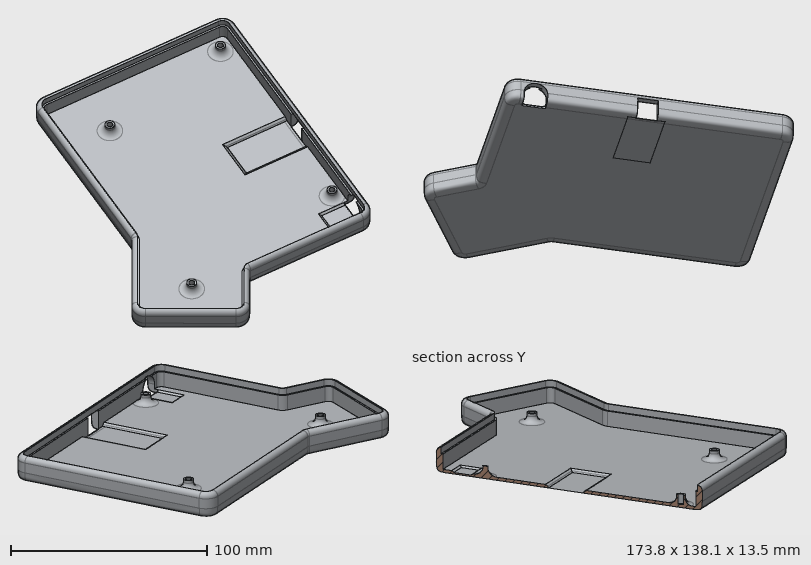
import cadquery as cq
import math

BODY_X = 150.5
BODY_Y = 115.4
HEIGHT = 13.5

WING_ANGLE = 30
TOTAL_X = 173.8
TOTAL_Y = 138.1
WING_WIDTH = 60.1

CONVEX_RADIUS = 7.0
FRONT_JOINT_RADIUS = 2.5
SIDE_JOINT_RADIUS = 0.9
RIM_FILLET = 3.0
BASE_ROUNDING = 5.2
BASE_HANDLE_RATIO = 0.15

RIM_WALL = RIM_FILLET
LOWER_WALL = 4.0
FLOOR_Z = 1.9
LEDGE_Z = 10.0

POST_DIAMETER = 5.0
POST_HOLE_DIAMETER = 3.0
POST_FLARE_WIDTH = 4.0
POST_FLARE_HEIGHT = 3.5
POST_HEIGHT = 5.0
POST_CENTRES = [(12.3, 104.1), (122.7, 106.0), (29.2, 29.4), (139.7, 13.7)]

USB_X = 77.2
USB_POCKET_WIDTH = 23.0
USB_POCKET_END = 40.8
USB_LEAD_DEPTH = 0.9
USB_LEAD_SLOPE = 1.2
USB_POCKET_DEPTH = 1.5
USB_POCKET_SLOPE = 0.6
USB_OPENING_WIDTH = 10.8

JACK_X = 135.5
JACK_WIDTH = 12.2
JACK_POCKET_END = 21.2
JACK_POCKET_DEPTH = 0.9
JACK_POCKET_SLOPE = 1.2
JACK_ARCH_Z = 4.5
JACK_ARCH_LENGTH = 6.0


def outline_corners():
    """Sharp corners of the case outline, counter-clockwise, each with its rounding radius."""
    angle = math.radians(WING_ANGLE)
    sine = math.sin(angle)
    cosine = math.cos(angle)
    straight = WING_WIDTH - 2 * CONVEX_RADIUS
    upper_x = TOTAL_X - CONVEX_RADIUS
    lower_x = upper_x - straight * sine
    lower_y = BODY_Y - TOTAL_Y + CONVEX_RADIUS
    upper_y = lower_y + straight * cosine
    along = (CONVEX_RADIUS * cosine, -CONVEX_RADIUS * sine)
    across = (CONVEX_RADIUS * sine, CONVEX_RADIUS * cosine)
    lower = (lower_x + along[0] - across[0], lower_y + along[1] - across[1])
    upper = (upper_x + along[0] + across[0], upper_y + along[1] + across[1])
    slope = math.tan(angle)
    front_joint = (lower[0] + lower[1] / slope, 0)
    side_joint = (BODY_X, upper[1] + (upper[0] - BODY_X) * slope)
    return [
        ((0, 0), CONVEX_RADIUS),
        (front_joint, FRONT_JOINT_RADIUS),
        (lower, CONVEX_RADIUS),
        (upper, CONVEX_RADIUS),
        (side_joint, SIDE_JOINT_RADIUS),
        ((BODY_X, BODY_Y), CONVEX_RADIUS),
        ((0, BODY_Y), CONVEX_RADIUS),
    ]


def outline_block():
    """Full-height block with its upright corners rounded."""
    corners = outline_corners()
    block = cq.Workplane("XY").polyline([point for point, _ in corners]).close().extrude(HEIGHT)
    for (x, y), radius in corners:
        corner_edge = cq.selectors.NearestToPointSelector((x, y, HEIGHT / 2))
        block = block.edges("|Z").edges(corner_edge).fillet(radius)
    return block


def cavity(block, inset, bottom):
    """Block that follows the outline at a given inset, from bottom up to the rim."""
    top = block.faces(">Z").wires().toPending().offset2D(-inset)
    return top.extrude(bottom - HEIGHT, combine=False)


def post(x, y):
    """Screw post standing on the floor, its foot flared by a concave arc tangent to the floor."""
    radius = POST_DIAMETER / 2
    foot = radius + POST_FLARE_WIDTH
    arc_radius = (POST_FLARE_WIDTH**2 + POST_FLARE_HEIGHT**2) / (2 * POST_FLARE_HEIGHT)
    half_turn = math.atan(POST_FLARE_HEIGHT / POST_FLARE_WIDTH)
    arc_middle = (foot - arc_radius * math.sin(half_turn), arc_radius * (1 - math.cos(half_turn)))
    profile = (
        cq.Workplane("XZ")
        .moveTo(0, POST_HEIGHT)
        .lineTo(0, 0)
        .lineTo(foot, 0)
        .threePointArc(arc_middle, (radius, POST_FLARE_HEIGHT))
        .lineTo(radius, POST_HEIGHT)
        .close()
    )
    return profile.revolve(360, (0, 0), (0, 1)).translate((x, y, FLOOR_Z))


def post_hole(x, y):
    """Blind screw hole from the top of a post down to the floor."""
    hole = cq.Workplane("XY").circle(POST_HOLE_DIAMETER / 2).extrude(POST_HEIGHT)
    return hole.translate((x, y, FLOOR_Z))


def floor_pocket(x, width, end, top, depth, slope):
    """Pocket with sloped sides sunk below the given height, running from the lower back wall."""
    back = BODY_Y - LOWER_WALL
    front = BODY_Y - end
    length = back - front + slope
    taper = math.degrees(math.atan(slope / depth))
    pocket = (
        cq.Workplane("XY", origin=(x, front + length / 2, top))
        .rect(width, length)
        .extrude(-depth, taper=taper)
    )
    trim = cq.Workplane("XY", origin=(x, back - length, 0)).box(
        width, length, top, centered=(True, False, False)
    )
    return pocket.intersect(trim)


def usb_pocket():
    """Pocket in two stages: a shallow sloped lead-in, then steeper sides."""
    lead = floor_pocket(
        USB_X, USB_POCKET_WIDTH, USB_POCKET_END, FLOOR_Z, USB_LEAD_DEPTH, USB_LEAD_SLOPE
    )
    inner = floor_pocket(
        USB_X,
        USB_POCKET_WIDTH - 2 * USB_LEAD_SLOPE,
        USB_POCKET_END - USB_LEAD_SLOPE,
        FLOOR_Z - USB_LEAD_DEPTH,
        USB_POCKET_DEPTH - USB_LEAD_DEPTH,
        USB_POCKET_SLOPE,
    )
    return lead.union(inner)


def back_opening(x, width, length, height):
    """Opening through the back wall that also runs down through the underside."""
    box = cq.Workplane("XY").box(width, length, height, centered=(True, False, False))
    return box.translate((x, BODY_Y - length, 0))


def jack_arch():
    """Arched opening: straight sides below, a half circle above."""
    round_top = cq.Workplane("XZ", origin=(JACK_X, BODY_Y, JACK_ARCH_Z)).circle(JACK_WIDTH / 2)
    sides = back_opening(JACK_X, JACK_WIDTH, JACK_ARCH_LENGTH, JACK_ARCH_Z)
    return sides.union(round_top.extrude(JACK_ARCH_LENGTH))


def base_rounding(block):
    """Ring to remove along the lower outer edge, leaving a rounding fuller than a circle."""
    size = BASE_ROUNDING
    handle = BASE_HANDLE_RATIO * size
    margin = SIDE_JOINT_RADIUS / 2
    profile = (
        cq.Workplane("YZ", origin=(BODY_X / 4, 0, 0))
        .moveTo(-margin, -margin)
        .lineTo(-margin, size)
        .lineTo(0, size)
        .bezier([(0, size), (0, handle), (handle, 0), (size, 0)])
        .lineTo(size, -margin)
        .close()
    )
    return profile.sweep(block.faces("<Z").wires())


block = outline_block()
case = block.faces(">Z").edges().fillet(RIM_FILLET)
case = case.cut(base_rounding(block))
case = case.cut(cavity(block, RIM_WALL, LEDGE_Z))
case = case.cut(cavity(block, LOWER_WALL, FLOOR_Z))

for x, y in POST_CENTRES:
    case = case.union(post(x, y))
    case = case.cut(post_hole(x, y))

case = case.cut(usb_pocket())
case = case.cut(back_opening(USB_X, USB_OPENING_WIDTH, LOWER_WALL, LEDGE_Z))

case = case.cut(
    floor_pocket(JACK_X, JACK_WIDTH, JACK_POCKET_END, FLOOR_Z, JACK_POCKET_DEPTH, JACK_POCKET_SLOPE)
)
case = case.cut(jack_arch())

result = case